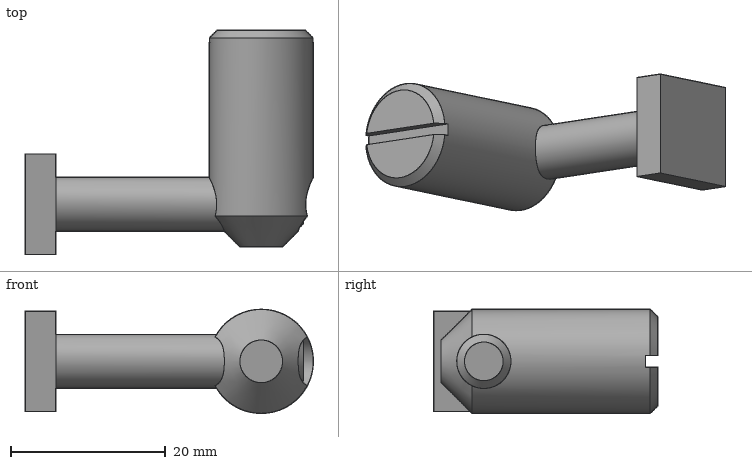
import cadquery as cq


head_side = 13.0
head_thickness = 4.0
shank_diameter = 7.0
bolt_length = 36.0
tip_chamfer = 1.0

overall_length = 37.25
barrel_diameter = 13.5
barrel_radius = barrel_diameter / 2
barrel_axis_x = overall_length - barrel_radius
nose_end_y = -5.5
slotted_end_y = 22.5
nose_length = 4.0
end_chamfer = 1.0
slot_width = 1.5
slot_depth = 1.6


def x_cylinder(diameter, start_x, end_x):
    """Cylinder along the bolt axis."""
    return cq.Workplane("YZ", origin=(start_x, 0, 0)).circle(diameter / 2).extrude(end_x - start_x)


def make_bolt():
    """Square head and round shank with a chamfered tip."""
    head = cq.Workplane("XY").box(head_thickness, head_side, head_side, centered=(False, True, True))
    shank = x_cylinder(shank_diameter, head_thickness, bolt_length).faces(">X").chamfer(tip_chamfer)
    return head.union(shank)


def make_barrel():
    """Round barrel with a conical nose, a screwdriver slot and a cross hole for the bolt."""
    body = (
        cq.Workplane("XY", origin=(barrel_axis_x, 0, 0))
        .moveTo(0, nose_end_y)
        .lineTo(barrel_radius - nose_length, nose_end_y)
        .lineTo(barrel_radius, nose_end_y + nose_length)
        .lineTo(barrel_radius, slotted_end_y - end_chamfer)
        .lineTo(barrel_radius - end_chamfer, slotted_end_y)
        .lineTo(0, slotted_end_y)
        .close()
        .revolve(360, (0, 0, 0), (0, 1, 0))
    )
    slot = cq.Workplane("XY", origin=(barrel_axis_x, slotted_end_y - slot_depth / 2, 0)).box(
        barrel_diameter, slot_depth, slot_width
    )
    cross_hole = x_cylinder(shank_diameter, barrel_axis_x - barrel_radius, overall_length)
    return body.cut(slot).cut(cross_hole)


bolt = make_bolt()
barrel = make_barrel()

result = cq.Compound.makeCompound([bolt.val(), barrel.val()])